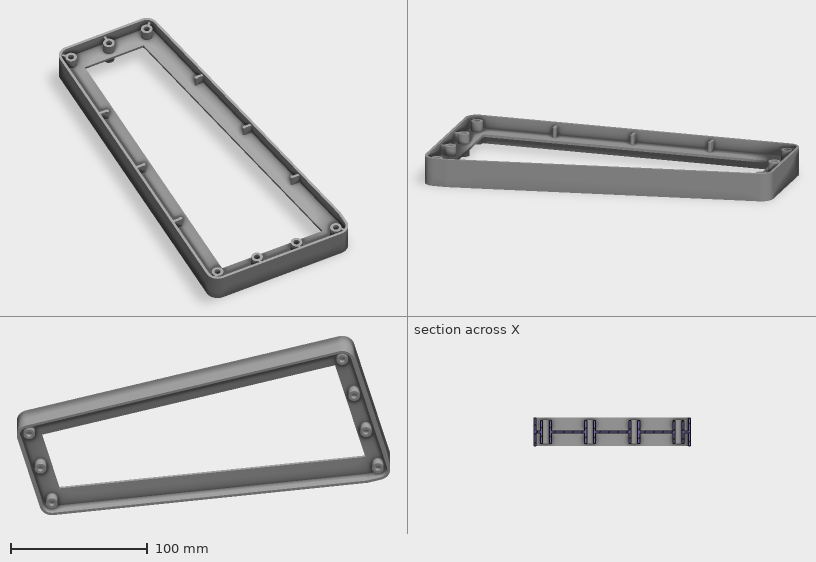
import cadquery as cq
import math

length = 256.0
depth = 115.0
height = 21.0
corner_radius = 9.0
wall = 2.0
left_side_depth = 78.7
level_length = 19.0

flange_thickness = 2.0
flange_bottom = (height - flange_thickness) / 2
flange_top = flange_bottom + flange_thickness
flange_width = 16.5

boss_diameter = 8.5
boss_hole_diameter = 4.5
boss_recess = 2.0
boss_bottom = boss_recess
boss_top = height - boss_recess
boss_inset = corner_radius
left_boss_count = 3
right_boss_count = 4
boss_web_thickness = 1.7

rib_thickness = 2.0
rib_pitch = 60.0
rib_top = boss_top
post_diameter = 2.6
post_pitch = 59.6
front_post_inset = 8.7
back_post_inset = 7.3

left = -length / 2
right = length / 2
front = -depth / 2
back = depth / 2
left_back = front + left_side_depth
slope = (back - left_back) / (length - level_length)
slope_angle = math.atan(slope)
overlap = wall / 2


def slope_y(x, inset):
    """Y at a given X on the sloped side moved inwards by inset, square to its face."""
    return left_back + slope * (x - left) - inset / math.cos(slope_angle)


def slope_x(y, inset):
    """X at a given Y on the sloped side moved inwards by inset, square to its face."""
    return left + (y - left_back + inset / math.cos(slope_angle)) / slope


def rounded_prism(inset, bottom, top):
    """Upright prism of the outline moved inwards by inset, with all corners rounded."""
    corners = [
        (left + inset, front + inset),
        (right - inset, front + inset),
        (right - inset, back - inset),
        (slope_x(back - inset, inset), back - inset),
        (left + inset, slope_y(left + inset, inset)),
    ]
    prism = cq.Workplane("XY").workplane(offset=bottom).polyline(corners).close().extrude(top - bottom)
    return prism.edges("|Z").fillet(corner_radius - inset)


def make_window():
    """Four-cornered opening, parallel to the straight sides of the frame."""
    window_left = left + flange_width
    window_right = right - flange_width
    window_front = front + flange_width
    corners = [
        (window_left, window_front),
        (window_right, window_front),
        (window_right, slope_y(window_right, flange_width)),
        (window_left, slope_y(window_left, flange_width)),
    ]
    return cq.Workplane("XY").polyline(corners).close().extrude(height)


def make_frame():
    """Outer wall with the flange inside it."""
    upper_pocket = rounded_prism(wall, flange_top, height)
    lower_pocket = rounded_prism(wall, 0, flange_bottom)
    return rounded_prism(0, 0, height).cut(upper_pocket).cut(lower_pocket).cut(make_window())


def boss_column(x, last_y, count, outward_angle):
    """Evenly spaced bosses along one side, each as (x, y, direction of its web)."""
    first_y = front + boss_inset
    step = (last_y - first_y) / (count - 1)
    turn = 45 if outward_angle == 0 else -45
    angles = [outward_angle - turn] + [outward_angle] * (count - 2) + [outward_angle + turn]
    return [(x, first_y + i * step, angle) for i, angle in enumerate(angles)]


def make_boss(x, y, web_angle):
    """Round boss tied to the wall by a thin web above the flange."""
    base = cq.Workplane("XY").workplane(offset=boss_bottom)
    boss = base.circle(boss_diameter / 2).extrude(boss_top - boss_bottom)
    web = (
        cq.Workplane("XY")
        .box(boss_inset - overlap, boss_web_thickness, boss_top - flange_top, centered=(False, True, False))
        .translate((0, 0, flange_top))
        .rotate((0, 0, 0), (0, 0, 1), web_angle)
    )
    return boss.union(web).translate((x, y, 0))


def make_rib(rib_x, wall_y, post_x, post_y):
    """Straight rib from inside the wall to the post at its free end."""
    rib_height = rib_top - flange_top
    base = cq.Workplane("XY").workplane(offset=flange_top)
    rib_outline = base.center(rib_x, (wall_y + post_y) / 2).rect(rib_thickness, abs(post_y - wall_y))
    rib = rib_outline.extrude(rib_height)
    post = base.center(post_x, post_y).circle(post_diameter / 2).extrude(rib_height)
    return rib.union(post)


result = make_frame()

left_boss_x = left + boss_inset
right_boss_x = right - boss_inset
bosses = boss_column(left_boss_x, slope_y(left_boss_x, boss_inset), left_boss_count, 180)
bosses += boss_column(right_boss_x, back - boss_inset, right_boss_count, 0)
for boss in bosses:
    result = result.union(make_boss(*boss))

for index in (-1, 0, 1):
    rib_x = index * rib_pitch
    post_x = index * post_pitch
    result = result.union(make_rib(rib_x, front + overlap, post_x, front + front_post_inset))
    result = result.union(make_rib(rib_x, slope_y(rib_x, overlap), post_x, slope_y(post_x, back_post_inset)))

hole_centers = [(x, y) for x, y, _ in bosses]
holes = cq.Workplane("XY").pushPoints(hole_centers).circle(boss_hole_diameter / 2).extrude(height)
result = result.cut(holes)